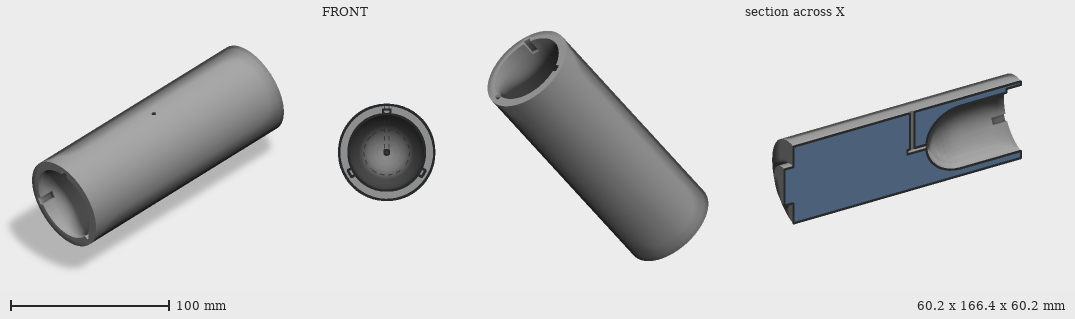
import cadquery as cq
import math

total_length = 166.4
body_diameter = 60.2
spigot_diameter = 28.6
spigot_length = 6.3
body_length = total_length - spigot_length

bore_diameter = 48.5
bore_radius = bore_diameter / 2
bore_depth = 66.5

keyway_count = 3
keyway_outer_diameter = 54.0
keyway_width = 4.8
keyway_length = 10.0

channel_diameter = 3.0
vent_position = 76.5


def rod(diameter, start, length):
    """Cylinder along +Y, starting at the given distance from the mouth."""
    return cq.Workplane("XZ", origin=(0, start, 0)).circle(diameter / 2).extrude(-length)


def round_ended_bore():
    """Cylinder closed by a hemisphere of the same radius, revolved about Y."""
    dome_start = bore_depth - bore_radius
    arc_offset = bore_radius * math.sqrt(0.5)
    return (
        cq.Workplane("XY")
        .lineTo(bore_radius, 0)
        .lineTo(bore_radius, dome_start)
        .threePointArc((arc_offset, dome_start + arc_offset), (0, bore_depth))
        .close()
        .revolve(360, (0, 0, 0), (0, 1, 0))
    )


def keyways():
    """Evenly spaced radial slots with rounded floors, the first one at the top."""
    spoke = cq.Workplane("XY").box(
        keyway_width, keyway_length, keyway_outer_diameter, centered=(True, False, False)
    )
    slot = spoke.intersect(rod(keyway_outer_diameter, 0, keyway_length))
    slots = slot
    for index in range(1, keyway_count):
        slots = slots.union(slot.rotate((0, 0, 0), (0, 1, 0), index * 360 / keyway_count))
    return slots


def vent_channel():
    """Blind axial hole from the bore tip, met by a radial hole from the top of the body."""
    axial_start = bore_depth - channel_diameter
    axial_end = vent_position + channel_diameter
    axial = rod(channel_diameter, axial_start, axial_end - axial_start)
    radial = (
        cq.Workplane("XY", origin=(0, vent_position, 0))
        .circle(channel_diameter / 2)
        .extrude(body_diameter)
    )
    return axial.union(radial)


body = rod(body_diameter, 0, body_length)
spigot = rod(spigot_diameter, body_length, spigot_length)

result = body.union(spigot).cut(round_ended_bore()).cut(keyways()).cut(vent_channel())
result = result.translate((0, -total_length / 2, 0))